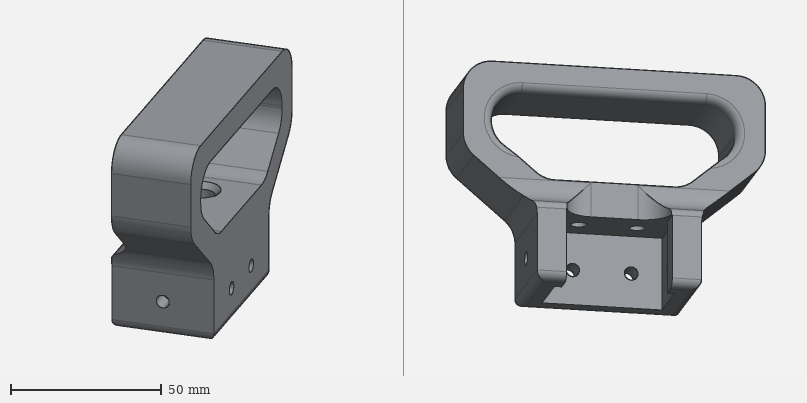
import cadquery as cq
import math

depth = 36.0
width = 102.9
height = 77.0

pad_step = 8.0
corner_radius = 10.0
diagonal_angle = math.radians(40)
diagonal_low_z = 27.2
shoulder_z = 36.7

grip_centre_y = 31.4
grip_centre_z = 57.1
grip_radius = 10.0
grip_edge_radius = 3.0
grip_side_flat = 0.8
floor_z = 37.0
floor_blend_radius = 10.0

foot_half_width = 28.0
foot_edge_radius = 3.0
pocket_height = 24.9
pocket_depth = 20.0
pocket_half_width = 20.5
mouth_half_width = 18.0
mid_x = depth / 2
clearance = 5.1

cross_hole_diameter = 4.5
cross_hole_z = 12.0
hole_half_spacing = 10.0
screw_diameter = 5.5
screw_head_diameter = 10.0
screw_head_depth = 6.0
screw_chamfer = 2.0


def box(x_range, y_range, z_range):
    """Axis-aligned box between the given limits."""
    sizes = [high - low for low, high in (x_range, y_range, z_range)]
    corner = (x_range[0], y_range[0], z_range[0])
    return cq.Workplane("XY").box(*sizes, centered=False).translate(corner)


def make_body():
    """Full-depth silhouette of handle and foot, with rounded corners."""
    half = width / 2
    diagonal_rise = (half - foot_half_width) * math.tan(diagonal_angle)
    diagonal_high_z = diagonal_low_z + diagonal_rise
    upright_corners = cq.selectors.BoxSelector(
        (0, -width, foot_edge_radius), (depth, width, height + foot_edge_radius))
    right_side = [
        (foot_half_width, 0),
        (foot_half_width, diagonal_low_z),
        (half, diagonal_high_z),
        (half, height),
    ]
    left_side = [(-y, z) for y, z in reversed(right_side)]
    body = cq.Workplane("YZ").polyline(right_side + left_side).close().extrude(depth)
    body = body.edges("|X").edges(upright_corners).fillet(corner_radius)
    return body.faces("<Z").edges().fillet(foot_edge_radius)


def make_front_relief():
    """Material removed in front of the handle, leaving the blended top of the foot."""
    blend_x = pad_step - corner_radius
    round_x = foot_edge_radius
    centre_distance = corner_radius + foot_edge_radius
    drop = math.sqrt(centre_distance**2 - (round_x - blend_x) ** 2)
    round_z = shoulder_z - drop
    share = corner_radius / centre_distance
    meet = (blend_x + share * (round_x - blend_x), shoulder_z - share * drop)
    blend_angle = math.atan2(meet[1] - shoulder_z, meet[0] - blend_x) / 2
    blend_mid = (
        blend_x + corner_radius * math.cos(blend_angle),
        shoulder_z + corner_radius * math.sin(blend_angle),
    )
    round_angle = (math.pi + math.atan2(meet[1] - round_z, meet[0] - round_x)) / 2
    round_mid = (
        round_x + foot_edge_radius * math.cos(round_angle),
        round_z + foot_edge_radius * math.sin(round_angle),
    )
    return (
        cq.Workplane("XZ")
        .moveTo(pad_step, height + clearance)
        .lineTo(pad_step, shoulder_z)
        .threePointArc(blend_mid, meet)
        .threePointArc(round_mid, (0, round_z))
        .lineTo(-clearance, round_z)
        .lineTo(-clearance, height + clearance)
        .close()
        .extrude(width / 2 + clearance, both=True)
    )


def make_mouth():
    """Pocket mouth: straight below, narrowing in concave blends above the pocket."""
    blend_x = pad_step - corner_radius
    lower = box((blend_x, pad_step), (-mouth_half_width, mouth_half_width), (-clearance, pocket_height))
    upper = box(
        (blend_x - corner_radius, pad_step),
        (-mouth_half_width, mouth_half_width),
        (pocket_height, shoulder_z),
    )
    upper = upper.edges("|Z and >X").fillet(corner_radius)
    return lower.union(upper)


def make_pocket():
    """Wide pocket inside the foot, open at the bottom."""
    return box(
        (mid_x - pocket_depth / 2, mid_x + pocket_depth / 2),
        (-pocket_half_width, pocket_half_width),
        (-clearance, pocket_height),
    )


def make_grip_opening():
    """Finger opening: straight top, round ends and diagonals down to a flat floor."""
    sine, cosine = math.sin(diagonal_angle), math.cos(diagonal_angle)
    tangent_y = grip_centre_y + grip_radius * sine
    lower_centre_z = grip_centre_z - grip_side_flat
    tangent_z = lower_centre_z - grip_radius * cosine
    floor_y = tangent_y - (tangent_z - floor_z) / math.tan(diagonal_angle)
    side_y = grip_centre_y + grip_radius
    top_z = grip_centre_z + grip_radius
    opening = (
        cq.Workplane("YZ")
        .moveTo(-floor_y, floor_z)
        .lineTo(floor_y, floor_z)
        .lineTo(tangent_y, tangent_z)
        .tangentArcPoint((side_y, lower_centre_z), relative=False)
        .lineTo(side_y, grip_centre_z)
        .tangentArcPoint((grip_centre_y, top_z), relative=False)
        .lineTo(-grip_centre_y, top_z)
        .tangentArcPoint((-side_y, grip_centre_z), relative=False)
        .lineTo(-side_y, lower_centre_z)
        .tangentArcPoint((-tangent_y, tangent_z), relative=False)
        .close()
        .extrude(depth)
    )
    return opening.edges("|X and <Z").fillet(floor_blend_radius)


def make_grip_rounding():
    """Flared slot that rounds the edge of the opening on the handle face."""
    outer_radius = grip_radius + grip_edge_radius
    slot_plane = cq.Workplane("YZ", origin=(pad_step, 0, grip_centre_z))
    flare = (
        slot_plane.slot2D(2 * (grip_centre_y + outer_radius), 2 * outer_radius)
        .extrude(grip_edge_radius)
    )
    core = (
        slot_plane.slot2D(2 * (grip_centre_y + grip_radius), 2 * grip_radius)
        .extrude(2 * grip_edge_radius)
    )
    rim = (
        slot_plane.rect(2 * width, 2 * height).extrude(2 * grip_edge_radius)
        .cut(core).faces("<X").wires(cq.selectors.LengthNthSelector(0))
        .fillet(grip_edge_radius)
    )
    return flare.cut(rim)


def cut_holes(body):
    """Cross holes through foot walls and countersunk screw seats in the floor."""
    side = (
        cq.Workplane("XZ").center(mid_x, cross_hole_z)
        .circle(cross_hole_diameter / 2).extrude(width / 2, both=True)
    )
    body = body.cut(side)
    for y in (-hole_half_spacing, hole_half_spacing):
        back = (
            cq.Workplane("YZ").center(y, cross_hole_z)
            .circle(cross_hole_diameter / 2).extrude(depth)
        )
        seat = cq.Workplane("XY", origin=(mid_x, y, floor_z))
        shank = seat.circle(screw_diameter / 2).extrude(pocket_height - floor_z)
        head = seat.circle(screw_head_diameter / 2).extrude(-screw_head_depth)
        mouth = (
            seat.circle(screw_head_diameter / 2 + screw_chamfer)
            .workplane(offset=-screw_chamfer).circle(screw_head_diameter / 2).loft()
        )
        body = body.cut(back).cut(shank).cut(head).cut(mouth)
    return body


result = make_body()
result = result.cut(make_front_relief()).cut(make_mouth()).cut(make_pocket())
result = result.cut(make_grip_opening()).cut(make_grip_rounding())
result = cut_holes(result)